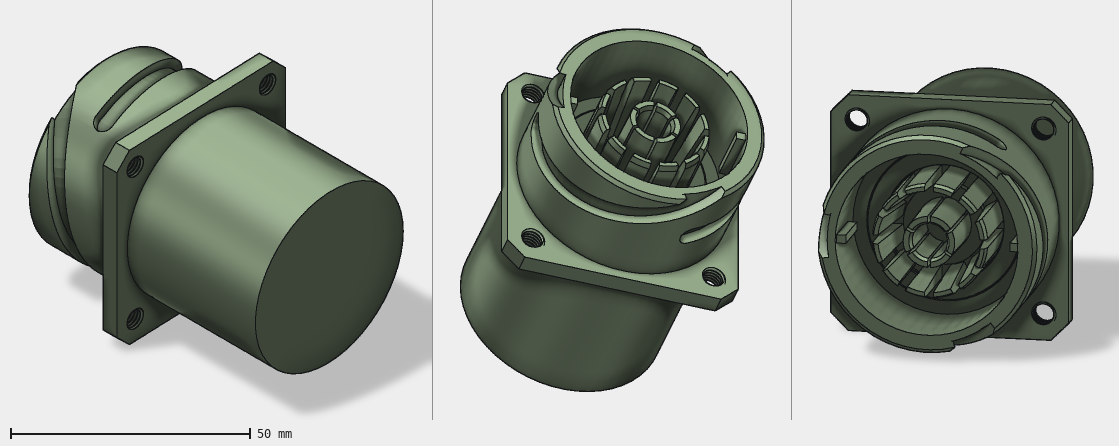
import cadquery as cq
import math

total_length = 65.45
plug_radius = 23.4
rear_radius = 22.25
mouth_chamfer = 0.8

flange_size = 50.8
flange_front = 24.2
flange_thickness = 4.0
flange_corner_cut = 3.8

screw_spacing = 39.8
thread_minor_radius = 2.2
thread_major_radius = 2.75
thread_pitch = 0.8
thread_base_share = 0.9
thread_core_overlap = 0.1
thread_start_angle = 180.0

bore_radius = 19.5
bore_depth = 18.8
seam_groove_radii = (12.55, 16.47)
seam_groove_width = 0.25
seam_groove_depth = 1.0

key_height = 2.0
key_width = 1.8
key_start = 1.3
key_end = 13.0

contact_front = 2.5
finger_count = 12
finger_slot_width = 1.9
finger_outer_radius = 12.3
finger_tip_inner_radius = 10.9
finger_base_inner_radius = 9.2
finger_tip_chamfer_height = 0.45
finger_tip_chamfer_length = 1.3
finger_pocket_inner_radius = 8.75
finger_pocket_depth = 2.0

post_tip_outer_radius = 5.5
post_base_outer_radius = 5.75
post_tip_inner_radius = 4.3
post_inner_radius = 3.75
post_funnel_length = 1.0
post_slot_width = 0.6
post_slot_pairs = 3

cam_slot_count = 3
cam_slot_width = 4.88
cam_slot_floor_radius = 21.2
cam_slot_end_x = 12.1
cam_slot_first_angle = -62.3
cam_slot_first_step = 12.5
cam_slot_step = 5.2
cam_slot_step_count = 27
cam_slot_lead_angle = 128.0
cam_slot_lead_drop = 13.9
cam_slot_lead_power = 2.33

flange_back = flange_front + flange_thickness
pocket_floor = bore_depth + finger_pocket_depth
overlap = 0.5
cutter_top_radius = plug_radius + overlap


def cylinder(radius, start, end):
    """Solid cylinder on the X axis between two X positions."""
    return cq.Workplane("YZ").workplane(offset=start).circle(radius).extrude(end - start)


def ring(outer, inner, start, end):
    """Tube on the X axis between two X positions."""
    return cylinder(outer, start, end).cut(cylinder(inner, start, end))


def revolved(profile):
    """Solid of revolution about X from (x, radius) points."""
    return cq.Workplane("XY").polyline(profile).close().revolve(360, (0, 0, 0), (1, 0, 0))


def radial_bar(width, start, end):
    """Bar across the whole bore along Y, used to part the contacts."""
    return cq.Workplane("XY").box(end - start, 2 * bore_radius, width).translate(((start + end) / 2, 0, 0))


def make_shell():
    plug = cylinder(plug_radius, 0, flange_front + overlap).faces("<X").chamfer(mouth_chamfer)
    flange = (
        cq.Workplane("YZ")
        .workplane(offset=flange_front)
        .rect(flange_size, flange_size)
        .extrude(flange_thickness)
        .edges("|X")
        .chamfer(flange_corner_cut)
    )
    rear = cylinder(rear_radius, flange_back - overlap, total_length)
    shell = plug.union(flange).union(rear)
    shell = shell.cut(cylinder(bore_radius, 0, bore_depth))
    half_groove = seam_groove_width / 2
    groove_floor = bore_depth + seam_groove_depth
    for radius in seam_groove_radii:
        shell = shell.cut(ring(radius + half_groove, radius - half_groove, bore_depth, groove_floor))
    pocket_outer_radius = seam_groove_radii[0]
    return shell.cut(ring(pocket_outer_radius, finger_pocket_inner_radius, bore_depth, pocket_floor))


def make_screw_cutter():
    """Thread-shaped cutter along X, centred on the X axis, passing through the flange."""
    start = flange_front - thread_pitch
    height = flange_thickness + 2 * thread_pitch
    half_base = thread_base_share * thread_pitch / 2
    root = thread_minor_radius - thread_core_overlap
    helix = cq.Wire.makeHelix(thread_pitch, height, root)
    profile = cq.Workplane("XZ").polyline(
        [(root, -half_base), (thread_major_radius, 0), (root, half_base)]
    ).close()
    thread = profile.sweep(cq.Workplane(helix), isFrenet=True)
    core = cq.Workplane("XY").circle(thread_minor_radius).extrude(height)
    cutter = core.union(thread)
    cutter = cutter.rotate((0, 0, 0), (0, 0, 1), thread_start_angle)
    return cutter.rotate((0, 0, 0), (0, 1, 0), 90).translate((start, 0, 0))


def cut_screw_holes(body):
    cutter = make_screw_cutter()
    half = screw_spacing / 2
    for y in (-half, half):
        for z in (-half, half):
            body = body.cut(cutter.translate((0, y, z)))
    return body


def cam_drop(turn):
    """Distance the slot centre line has moved towards the mouth after `turn` degrees."""
    return cam_slot_lead_drop * (turn / cam_slot_lead_angle) ** cam_slot_lead_power


def cam_section(turn):
    """Rectangular slot section at `turn` degrees, square to the slot's own direction."""
    angle = math.radians(cam_slot_first_angle + turn)
    radial = cq.Vector(0, -math.cos(angle), math.sin(angle))
    around = cq.Vector(0, math.sin(angle), math.cos(angle))
    slope = cam_slot_lead_power * cam_drop(turn) / math.radians(turn) if turn else 0.0
    lean = math.atan2(slope, plug_radius)
    across = cq.Vector(math.cos(lean), 0, 0) + around * math.sin(lean)
    centre = cq.Vector(cam_slot_end_x - cam_drop(turn), 0, 0)
    half = across * (cam_slot_width / 2)
    floor = centre + radial * cam_slot_floor_radius
    top = centre + radial * cutter_top_radius
    return cq.Wire.makePolygon([floor - half, floor + half, top + half, top - half], close=True)


def make_cam_cutter():
    """Slot cutter made of short straight stretches, with a round inner end."""
    turns = [0.0] + [cam_slot_first_step + i * cam_slot_step for i in range(cam_slot_step_count + 1)]
    sections = [cam_section(turn) for turn in turns]
    channel = cq.Workplane(cq.Solid.makeLoft(sections, True))
    angle = math.radians(cam_slot_first_angle)
    radial = cq.Vector(0, -math.cos(angle), math.sin(angle))
    round_end = cq.Solid.makeCylinder(
        cam_slot_width / 2,
        cutter_top_radius - cam_slot_floor_radius,
        cq.Vector(cam_slot_end_x, 0, 0) + radial * cam_slot_floor_radius,
        radial,
    )
    return channel.union(cq.Workplane(round_end))


def cut_cam_slots(body):
    cutter = make_cam_cutter()
    for i in range(cam_slot_count):
        body = body.cut(cutter.rotate((0, 0, 0), (1, 0, 0), -i * 360 / cam_slot_count))
    return body


def make_keys():
    """Two opposite keys on the bore wall at +Y and -Y."""
    inner = bore_radius - key_height
    outer = bore_radius + overlap
    length = key_end - key_start
    bar = cq.Workplane("XY").box(length, outer - inner, key_width)
    x = (key_start + key_end) / 2
    y = (inner + outer) / 2
    return bar.translate((x, y, 0)).union(bar.translate((x, -y, 0)))


def make_fingers():
    """Ring of contact fingers, tapered inside and chamfered outside at the tip."""
    sleeve = revolved(
        [
            (contact_front, finger_tip_inner_radius),
            (contact_front, finger_outer_radius - finger_tip_chamfer_height),
            (contact_front + finger_tip_chamfer_length, finger_outer_radius),
            (pocket_floor + overlap, finger_outer_radius),
            (pocket_floor + overlap, finger_base_inner_radius),
        ]
    )
    bar = radial_bar(finger_slot_width, 0, pocket_floor)
    for i in range(finger_count // 2):
        sleeve = sleeve.cut(bar.rotate((0, 0, 0), (1, 0, 0), i * 360 / finger_count))
    return sleeve


def make_post():
    """Central split socket, slightly tapered outside and with a funnel at its mouth."""
    tube = revolved(
        [
            (contact_front, post_tip_inner_radius),
            (contact_front, post_tip_outer_radius),
            (bore_depth + overlap, post_base_outer_radius),
            (bore_depth + overlap, post_inner_radius),
            (contact_front + post_funnel_length, post_inner_radius),
        ]
    )
    bar = radial_bar(post_slot_width, 0, bore_depth).rotate((0, 0, 0), (1, 0, 0), 90)
    for i in range(post_slot_pairs):
        tube = tube.cut(bar.rotate((0, 0, 0), (1, 0, 0), i * 180 / post_slot_pairs))
    return tube


body = cut_cam_slots(make_shell())
body = cut_screw_holes(body)
result = body.union(make_keys()).union(make_fingers()).union(make_post())